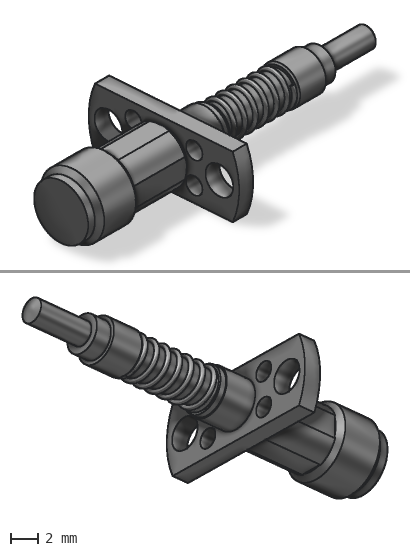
import cadquery as cq


face_radius = 2.7
nut_radius = 6.33 / 2
face_length = 0.72
nut_chamfer = 0.5
nut_end = 5.1

body_radius = 2.72
across_flats = 5.1
body_chamfer_start = 10.5
body_chamfer_end_radius = 2.3

flange_front = 11.0
flange_thickness = 1.5
flange_width = 14.95
flange_height = 6.07
mount_hole_diameter = 2.75
mount_hole_offset = 5.5
corner_hole_diameter = 1.65
corner_hole_x = 3.02
corner_hole_z = 1.5

bush_radius = 2.1
bush_end = 15.3
collar_radius = 2.0
collar_end = 15.8
core_radius = 1.55
sleeve_front = 23.32
sleeve_radius = 1.95
sleeve_chamfer = 0.15
sleeve_end = 26.25
ferrule_radius = 1.6
ferrule_end = 27.62

cable_radius = 1.02
cable_cone_start = 32.57
cable_tip = 32.8

wire_radius = 0.2
coil_radius = 1.67
helix_start = 15.88
helix_length = 7.35
helix_turns = 6.5
shoulder_overlap = 0.03
front_coil_start = -90
front_coil_angle = 300
rear_coil_start = -30
rear_coil_angle = 140

flange_back = flange_front + flange_thickness


def turned(profile):
    """Revolve a closed half profile, drawn as (radius, Y), about the Y axis."""
    return profile.close().revolve(360, (0, 0, 0), (0, 1, 0))


def make_nut():
    """Stepped coupling nut, chamfered at both shoulders."""
    return turned(
        cq.Workplane("XY")
        .lineTo(face_radius, 0)
        .lineTo(face_radius, face_length)
        .lineTo(nut_radius, face_length + nut_chamfer)
        .lineTo(nut_radius, nut_end - nut_chamfer)
        .lineTo(nut_radius - nut_chamfer, nut_end)
        .lineTo(0, nut_end)
    )


def make_body():
    """Round bar with flats on the +X, -X, +Z and -Z sides, chamfered at the flange."""
    body_start = nut_end - nut_chamfer
    round_body = turned(
        cq.Workplane("XY")
        .moveTo(0, body_start)
        .lineTo(body_radius, body_start)
        .lineTo(body_radius, body_chamfer_start)
        .lineTo(body_chamfer_end_radius, flange_front)
        .lineTo(0, flange_front)
    )
    square_bar = cq.Workplane("XZ").rect(across_flats, across_flats).extrude(-flange_front)
    return round_body.intersect(square_bar)


def make_flange():
    """Plate with straight long sides and ends on one circle about the axis."""

    def plate():
        return cq.Workplane("XZ", origin=(0, flange_back, 0))

    blank = plate().circle(flange_width / 2).extrude(flange_thickness)
    band = plate().rect(flange_width, flange_height).extrude(flange_thickness)
    mount_holes = [(side * mount_hole_offset, 0) for side in (-1, 1)]
    mount_cutters = (
        plate()
        .pushPoints(mount_holes)
        .circle(mount_hole_diameter / 2)
        .extrude(flange_thickness)
    )
    corner_cutters = (
        plate()
        .rect(2 * corner_hole_x, 2 * corner_hole_z, forConstruction=True)
        .vertices()
        .circle(corner_hole_diameter / 2)
        .extrude(flange_thickness)
    )
    return blank.intersect(band).cut(mount_cutters).cut(corner_cutters)


def make_rear_shaft():
    """Bush, spring core, sleeve, ferrule and cable behind the flange."""
    return turned(
        cq.Workplane("XY")
        .moveTo(0, flange_back)
        .lineTo(bush_radius, flange_back)
        .lineTo(bush_radius, bush_end)
        .lineTo(collar_radius, bush_end)
        .lineTo(collar_radius, collar_end)
        .lineTo(core_radius, collar_end)
        .lineTo(core_radius, sleeve_front)
        .lineTo(sleeve_radius - sleeve_chamfer, sleeve_front)
        .lineTo(sleeve_radius, sleeve_front + sleeve_chamfer)
        .lineTo(sleeve_radius, sleeve_end)
        .lineTo(ferrule_radius, sleeve_end)
        .lineTo(ferrule_radius, ferrule_end)
        .lineTo(cable_radius, ferrule_end)
        .lineTo(cable_radius, cable_cone_start)
        .lineTo(0, cable_tip)
    )


def make_coils():
    """Helix that rises in +Y from the +Z side toward -X."""
    helix = cq.Wire.makeHelix(helix_length / helix_turns, helix_length, coil_radius, lefthand=True)
    wire = cq.Workplane("XZ").center(coil_radius, 0).circle(wire_radius)
    coils = wire.sweep(cq.Workplane(helix), isFrenet=True)
    start_on_top = coils.rotate((0, 0, 0), (0, 0, 1), -90)
    return start_on_top.rotate((0, 0, 0), (1, 0, 0), -90).translate((0, helix_start, 0))


def make_end_coil(y, start_angle, sweep_angle):
    """Flat coil at height y; angles run from +X toward -Z about the Y axis."""
    coil = (
        cq.Workplane("XY", origin=(0, y, 0))
        .center(coil_radius, 0)
        .circle(wire_radius)
        .revolve(sweep_angle, (-coil_radius, 0, 0), (-coil_radius, 1, 0))
    )
    return coil.rotate((0, 0, 0), (0, 1, 0), start_angle)


end_coil_inset = wire_radius - shoulder_overlap
front_coil = make_end_coil(collar_end + end_coil_inset, front_coil_start, front_coil_angle)
rear_coil = make_end_coil(sleeve_front - end_coil_inset, rear_coil_start, rear_coil_angle)

result = (
    make_rear_shaft()
    .union(make_coils())
    .union(front_coil)
    .union(rear_coil)
    .union(make_flange())
    .union(make_body())
    .union(make_nut())
)